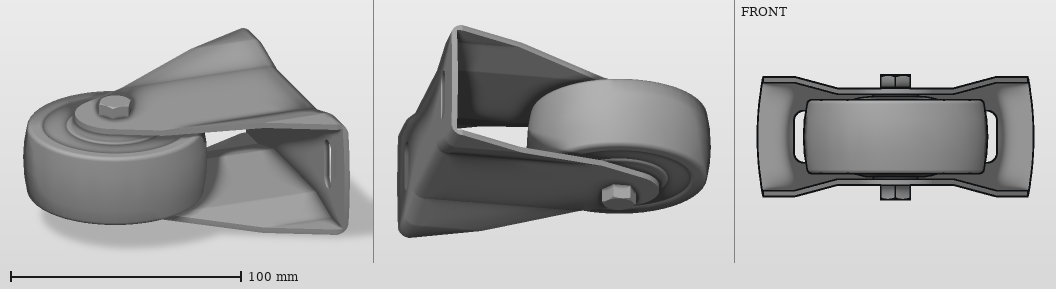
import cadquery as cq
import math


SHEET = 2.5
BEND_RADIUS = 5.0
BEND_ANGLE = math.radians(15)
PLATE_BACK_Y = 86.0
WAIST_HALF_HEIGHT = 21.0
FORK_HALF_HEIGHT = 26.0
WAIST_HALF_WIDTH = 25.1
FLARE_HALF_WIDTH = WAIST_HALF_WIDTH + (FORK_HALF_HEIGHT - WAIST_HALF_HEIGHT) / math.tan(BEND_ANGLE)
BEND_SHIFT = SHEET * math.tan(BEND_ANGLE / 2)
PLATE_HALF_WIDTH = 60.0
LEG_HALF_WIDTH = 57.5
TIP_RADIUS = 17.5
LEG_SHOULDER_Y = PLATE_BACK_Y - BEND_RADIUS
BLANK_LENGTH = PLATE_BACK_Y + 2 * TIP_RADIUS
FORK_HOLE_DIAMETER = 8.5
SLOT_WIDTH = 8.5
SLOT_LENGTH = 22.5
SLOT_OUTER_X = 44.0

WHEEL_RADIUS = 40.0
WHEEL_HALF_WIDTH = 16.0
CROWN_RADIUS = 65.0
TREAD_ROUND = 2.0
RIM_INNER_RADIUS = 33.0
RIM_ROUND = 2.0
RECESS_FLOOR_Z = 15.0
HUB_RADIUS = 21.4
HUB_ROUND = WHEEL_HALF_WIDTH - RECESS_FLOOR_Z
DOME_RADIUS = 18.45
DOME_TOP_Z = 17.5

SLEEVE_DIAMETER = 19.5
SLEEVE_BORE = 8.2
SLEEVE_HALF_LENGTH = WAIST_HALF_HEIGHT - SHEET
BOLT_DIAMETER = 8.0
HEX_FLATS = 13.0
HEX_FACE_DIAMETER = 12.7
HEX_CHAMFER_ANGLE = math.radians(30)
HEAD_HEIGHT = 5.3
WASHER_FACE_DIAMETER = 12.5
WASHER_FACE_HEIGHT = 0.5
NUT_HEIGHT = 6.4


def channel_prism(back_y, waist, corner, waist_x, flare_x, end_x):
    """Prism along Y, waisted in height at the middle, from the plate to past the leg tips."""
    upper = [(end_x, corner), (flare_x, corner), (waist_x, waist)]
    upper += [(-x, z) for x, z in reversed(upper)]
    lower = [(x, -z) for x, z in reversed(upper)]
    return cq.Workplane("XZ", origin=(0, back_y, 0)).polyline(upper + lower).close().extrude(BLANK_LENGTH)


def bend_lines(x, z):
    """Selector for the four edges along Y at (+-x, +-z)."""
    reach = 2 * PLATE_BACK_Y
    tolerance = 0.1
    boxes = [
        cq.selectors.BoxSelector(
            (sx * x - tolerance, -reach, sz * z - tolerance),
            (sx * x + tolerance, reach, sz * z + tolerance),
        )
        for sx in (-1, 1)
        for sz in (-1, 1)
    ]
    return boxes[0] + boxes[1] + boxes[2] + boxes[3]


def leg_outline():
    """Tapered outline of the legs and plate in the XY plane, extruded through the fork."""
    shoulder_distance = math.hypot(LEG_HALF_WIDTH, LEG_SHOULDER_Y)
    shoulder_angle = math.atan2(LEG_SHOULDER_Y, LEG_HALF_WIDTH)
    tangent_angle = shoulder_angle - math.acos(TIP_RADIUS / shoulder_distance)
    tangent_x = TIP_RADIUS * math.cos(tangent_angle)
    tangent_y = TIP_RADIUS * math.sin(tangent_angle)
    plate_inner_y = PLATE_BACK_Y - SHEET
    return (
        cq.Workplane("XY")
        .moveTo(tangent_x, tangent_y)
        .lineTo(LEG_HALF_WIDTH, LEG_SHOULDER_Y)
        .lineTo(LEG_HALF_WIDTH, plate_inner_y)
        .lineTo(PLATE_HALF_WIDTH, plate_inner_y)
        .lineTo(PLATE_HALF_WIDTH, PLATE_BACK_Y)
        .lineTo(-PLATE_HALF_WIDTH, PLATE_BACK_Y)
        .lineTo(-PLATE_HALF_WIDTH, plate_inner_y)
        .lineTo(-LEG_HALF_WIDTH, plate_inner_y)
        .lineTo(-LEG_HALF_WIDTH, LEG_SHOULDER_Y)
        .lineTo(-tangent_x, tangent_y)
        .threePointArc((0, -TIP_RADIUS), (tangent_x, tangent_y))
        .close()
        .extrude(FORK_HALF_HEIGHT, both=True)
    )


def bulged_ends():
    """Block along Y whose two ends bulge outwards at mid height."""
    return (
        cq.Workplane("XZ", origin=(0, PLATE_BACK_Y, 0))
        .moveTo(-LEG_HALF_WIDTH, FORK_HALF_HEIGHT)
        .lineTo(LEG_HALF_WIDTH, FORK_HALF_HEIGHT)
        .threePointArc((PLATE_HALF_WIDTH, 0), (LEG_HALF_WIDTH, -FORK_HALF_HEIGHT))
        .lineTo(-LEG_HALF_WIDTH, -FORK_HALF_HEIGHT)
        .threePointArc((-PLATE_HALF_WIDTH, 0), (-LEG_HALF_WIDTH, FORK_HALF_HEIGHT))
        .close()
        .extrude(BLANK_LENGTH)
    )


def make_fork():
    outside = channel_prism(
        PLATE_BACK_Y, WAIST_HALF_HEIGHT, FORK_HALF_HEIGHT,
        WAIST_HALF_WIDTH, FLARE_HALF_WIDTH, PLATE_HALF_WIDTH,
    )
    outside = outside.faces(">Y").edges("not |Z").fillet(BEND_RADIUS)
    outside = outside.edges(bend_lines(FLARE_HALF_WIDTH, FORK_HALF_HEIGHT)).fillet(BEND_RADIUS)

    inner_waist_width = WAIST_HALF_WIDTH + BEND_SHIFT
    inner_waist_height = WAIST_HALF_HEIGHT - SHEET
    inside = channel_prism(
        PLATE_BACK_Y - SHEET, inner_waist_height, FORK_HALF_HEIGHT - SHEET,
        inner_waist_width, FLARE_HALF_WIDTH + BEND_SHIFT, PLATE_HALF_WIDTH,
    )
    inside = inside.edges(bend_lines(inner_waist_width, inner_waist_height)).fillet(BEND_RADIUS)

    slots = (
        cq.Workplane("XZ", origin=(0, PLATE_BACK_Y, 0))
        .pushPoints([(side * (SLOT_OUTER_X - SLOT_WIDTH / 2), 0) for side in (-1, 1)])
        .slot2D(SLOT_LENGTH, SLOT_WIDTH, 90)
        .extrude(SHEET)
    )
    axle_holes = cq.Workplane("XY").circle(FORK_HOLE_DIAMETER / 2).extrude(FORK_HALF_HEIGHT, both=True)
    sheet = outside.cut(inside).intersect(leg_outline()).intersect(bulged_ends())
    return sheet.cut(slots).cut(axle_holes)


def make_wheel():
    crown_center_r = WHEEL_RADIUS - CROWN_RADIUS
    round_center_z = WHEEL_HALF_WIDTH - TREAD_ROUND
    crown_angle = math.asin(round_center_z / (CROWN_RADIUS - TREAD_ROUND))
    round_center_r = crown_center_r + (CROWN_RADIUS - TREAD_ROUND) * math.cos(crown_angle)
    crown_end_r = crown_center_r + CROWN_RADIUS * math.cos(crown_angle)
    crown_end_z = CROWN_RADIUS * math.sin(crown_angle)

    recess_depth = WHEEL_HALF_WIDTH - RECESS_FLOOR_Z
    floor_end_r = RIM_INNER_RADIUS - math.sqrt(RIM_ROUND**2 - (RIM_ROUND - recess_depth) ** 2)

    bore_radius = SLEEVE_DIAMETER / 2
    dome_run = DOME_RADIUS - bore_radius
    dome_rise = DOME_TOP_Z - WHEEL_HALF_WIDTH
    dome_arc_radius = (dome_run**2 + dome_rise**2) / (2 * dome_rise)
    profile = (
        cq.Workplane("XZ")
        .moveTo(bore_radius, -DOME_TOP_Z)
        .lineTo(bore_radius, DOME_TOP_Z)
        .radiusArc((DOME_RADIUS, WHEEL_HALF_WIDTH), dome_arc_radius)
        .lineTo(HUB_RADIUS - HUB_ROUND, WHEEL_HALF_WIDTH)
        .radiusArc((HUB_RADIUS, RECESS_FLOOR_Z), HUB_ROUND)
        .lineTo(floor_end_r, RECESS_FLOOR_Z)
        .radiusArc((RIM_INNER_RADIUS, WHEEL_HALF_WIDTH), RIM_ROUND)
        .lineTo(round_center_r, WHEEL_HALF_WIDTH)
        .radiusArc((crown_end_r, crown_end_z), TREAD_ROUND)
        .radiusArc((crown_end_r, -crown_end_z), CROWN_RADIUS)
        .radiusArc((round_center_r, -WHEEL_HALF_WIDTH), TREAD_ROUND)
        .lineTo(RIM_INNER_RADIUS, -WHEEL_HALF_WIDTH)
        .radiusArc((floor_end_r, -RECESS_FLOOR_Z), RIM_ROUND)
        .lineTo(HUB_RADIUS, -RECESS_FLOOR_Z)
        .radiusArc((HUB_RADIUS - HUB_ROUND, -WHEEL_HALF_WIDTH), HUB_ROUND)
        .lineTo(DOME_RADIUS, -WHEEL_HALF_WIDTH)
        .radiusArc((bore_radius, -DOME_TOP_Z), dome_arc_radius)
        .close()
    )
    return profile.revolve(360, (0, 0, 0), (0, 1, 0))


def make_sleeve():
    return (
        cq.Workplane("XY")
        .circle(SLEEVE_DIAMETER / 2)
        .circle(SLEEVE_BORE / 2)
        .extrude(SLEEVE_HALF_LENGTH, both=True)
    )


def hexagon(base_z, height):
    """Hexagon with its upper corners chamfered; two of its flats face +-X."""
    corner_radius = HEX_FLATS / 2 / math.cos(math.pi / 6)
    block = (
        cq.Workplane("XY", origin=(0, 0, base_z))
        .transformed(rotate=(0, 0, 90))
        .polygon(6, 2 * corner_radius)
        .extrude(height)
    )
    face_radius = HEX_FACE_DIAMETER / 2
    top_z = base_z + height
    corner_z = top_z - (corner_radius - face_radius) * math.tan(HEX_CHAMFER_ANGLE)
    chamfer_envelope = (
        cq.Workplane("XZ")
        .polyline([(0, 0), (corner_radius, 0), (corner_radius, corner_z), (face_radius, top_z), (0, top_z)])
        .close()
        .revolve(360, (0, 0, 0), (0, 1, 0))
    )
    return block.intersect(chamfer_envelope)


def make_bolt():
    """Hexagon bolt with a washer face under its head and its end flush with the nut."""
    washer_face = (
        cq.Workplane("XY", origin=(0, 0, WAIST_HALF_HEIGHT))
        .circle(WASHER_FACE_DIAMETER / 2)
        .extrude(WASHER_FACE_HEIGHT)
    )
    end_z = -WAIST_HALF_HEIGHT - NUT_HEIGHT
    shank = (
        cq.Workplane("XY", origin=(0, 0, end_z))
        .circle(BOLT_DIAMETER / 2)
        .extrude(WAIST_HALF_HEIGHT - end_z)
    )
    head = hexagon(WAIST_HALF_HEIGHT + WASHER_FACE_HEIGHT, HEAD_HEIGHT)
    return head.union(washer_face).union(shank)


def make_nut():
    thread = cq.Workplane("XY").circle(BOLT_DIAMETER / 2).extrude(WAIST_HALF_HEIGHT + NUT_HEIGHT)
    return hexagon(WAIST_HALF_HEIGHT, NUT_HEIGHT).cut(thread).mirror("XY")


fork = make_fork()
wheel = make_wheel()
sleeve = make_sleeve()
bolt = make_bolt()
nut = make_nut()

result = cq.Compound.makeCompound([fork.val(), wheel.val(), sleeve.val(), bolt.val(), nut.val()])